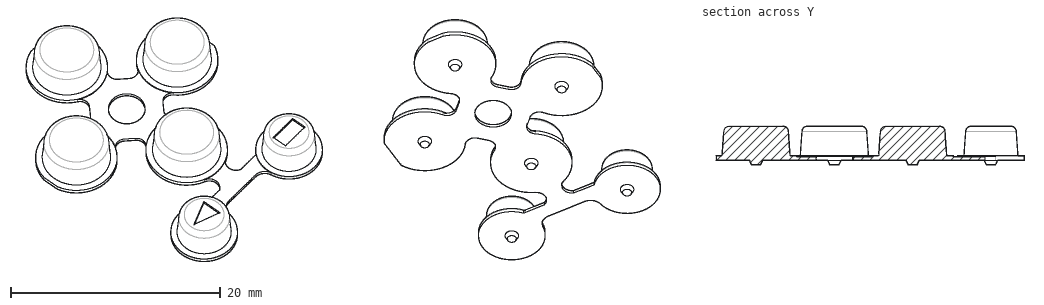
import cadquery as cq
import math


overall_length = 29.47
overall_width = 22.3
overall_height = 3.7

pitch = 7.5
small_x = 2 * pitch
small_y = 6.3
large_centers = [(-pitch, 0), (pitch, 0), (0, -pitch), (0, pitch)]
upper_small = (small_x, small_y)
lower_small = (small_x, -small_y)
small_centers = [upper_small, lower_small]

large_flange_radius = 7.8 / 2
small_flange_radius = 6.4 / 2
flange_thickness = 0.45
large_cap_radius = 3.27
small_cap_radius = 2.6
cap_taper = 4.0
cap_fillet = 0.53
pin_length = 0.45
pin_root_radius = 0.65
pin_tip_radius = 0.45
cap_height = overall_height - flange_thickness - pin_length
top_z = flange_thickness + cap_height

left_flat = small_x + small_flange_radius - overall_length
bottom_flat = left_flat
top_flat = bottom_flat + overall_width

web_thickness = 0.35
web_hole_diameter = 3.5
diamond_reach = 4.98
diamond_fillet = 0.9
bar_left = 12.9
bar_right = 14.4
bar_fillet = 1.18
neck_half_width = 0.97
neck_fillet = 1.0

symbol_depth = 0.25
rectangle_width = 1.53
rectangle_length = 2.9
triangle_half_width = 1.0
triangle_base_y = 1.15
triangle_tip_y = -1.53


def disc(center, radius, thickness):
    return cq.Workplane("XY").center(*center).circle(radius).extrude(thickness)


def button(center, flange_radius, cap_radius):
    """Flange with a tapered, rounded cap above and a conical pin below."""
    cap = (
        cq.Workplane("XY", origin=(*center, flange_thickness))
        .circle(cap_radius)
        .extrude(cap_height, taper=cap_taper)
        .faces(">Z")
        .edges()
        .fillet(cap_fillet)
    )
    pin = cq.Solid.makeCone(
        pin_root_radius, pin_tip_radius, pin_length, cq.Vector(*center, 0), cq.Vector(0, 0, -1)
    )
    return disc(center, flange_radius, flange_thickness).union(cap).union(cq.Workplane(pin))


def fillet_corner(body, corner, radius):
    """Round the vertical edge of the web nearest to a plan position."""
    middle = (*corner, web_thickness / 2)
    return body.edges("|Z").edges(cq.selectors.NearestToPointSelector(middle)).fillet(radius)


def cross_web():
    """Diamond between the four large buttons, blended into their flanges."""
    web = (
        cq.Workplane("XY")
        .polyline([(diamond_reach, 0), (0, diamond_reach), (-diamond_reach, 0), (0, -diamond_reach)])
        .close()
        .extrude(web_thickness)
    )
    for center in large_centers:
        web = web.union(disc(center, large_flange_radius, web_thickness))

    side_distance = (pitch - diamond_reach) / math.sqrt(2)
    half_chord = math.sqrt(large_flange_radius**2 - side_distance**2)
    across = (half_chord - side_distance) / math.sqrt(2)
    along = diamond_reach - across
    for sign_x in (-1, 1):
        for sign_y in (-1, 1):
            for size_x, size_y in ((across, along), (along, across)):
                web = fillet_corner(web, (sign_x * size_x, sign_y * size_y), diamond_fillet)
    return web


def bar_web():
    """Bar joining the two small buttons, blended into their flanges on its right side."""
    web = (
        cq.Workplane("XY")
        .center((bar_left + bar_right) / 2, 0)
        .rect(bar_right - bar_left, 2 * small_y)
        .extrude(web_thickness)
    )
    for center in small_centers:
        web = web.union(disc(center, small_flange_radius, web_thickness))

    corner_y = small_y - math.sqrt(small_flange_radius**2 - (small_x - bar_right) ** 2)
    for sign in (-1, 1):
        web = fillet_corner(web, (bar_right, sign * corner_y), bar_fillet)
    return web


def neck_web():
    """Waisted neck from the right large button to the bar, with an arc on each side."""
    arc_y = neck_half_width + neck_fillet
    center_distance = large_flange_radius + neck_fillet
    arc_offset = math.sqrt(center_distance**2 - arc_y**2)
    arc_x = pitch + arc_offset
    flange_ratio = large_flange_radius / center_distance
    start_x = pitch + arc_offset * flange_ratio
    start_y = arc_y * flange_ratio
    end_y = arc_y - math.sqrt(neck_fillet**2 - (bar_left - arc_x) ** 2)
    return (
        cq.Workplane("XY")
        .moveTo(pitch, start_y)
        .lineTo(start_x, start_y)
        .threePointArc((arc_x, neck_half_width), (bar_left, end_y))
        .lineTo(bar_right, end_y)
        .lineTo(bar_right, -end_y)
        .lineTo(bar_left, -end_y)
        .threePointArc((arc_x, -neck_half_width), (start_x, -start_y))
        .lineTo(pitch, -start_y)
        .close()
        .extrude(web_thickness)
    )


def symbol_plane(center):
    return cq.Workplane("XY", origin=(*center, top_z - symbol_depth))


web_hole = disc((0, 0), web_hole_diameter / 2, web_thickness)
result = cross_web().union(bar_web()).union(neck_web()).cut(web_hole)

for center in large_centers:
    result = result.union(button(center, large_flange_radius, large_cap_radius))
for center in small_centers:
    result = result.union(button(center, small_flange_radius, small_cap_radius))

rectangle = symbol_plane(upper_small).rect(rectangle_width, rectangle_length).extrude(symbol_depth)
triangle = (
    symbol_plane(lower_small)
    .moveTo(-triangle_half_width, triangle_base_y)
    .lineTo(triangle_half_width, triangle_base_y)
    .lineTo(0, triangle_tip_y)
    .close()
    .extrude(symbol_depth)
)
result = result.cut(rectangle).cut(triangle)

envelope = cq.Workplane("XY", origin=(left_flat, bottom_flat, -pin_length)).box(
    overall_length, overall_width, overall_height, centered=False
)
result = result.intersect(envelope)